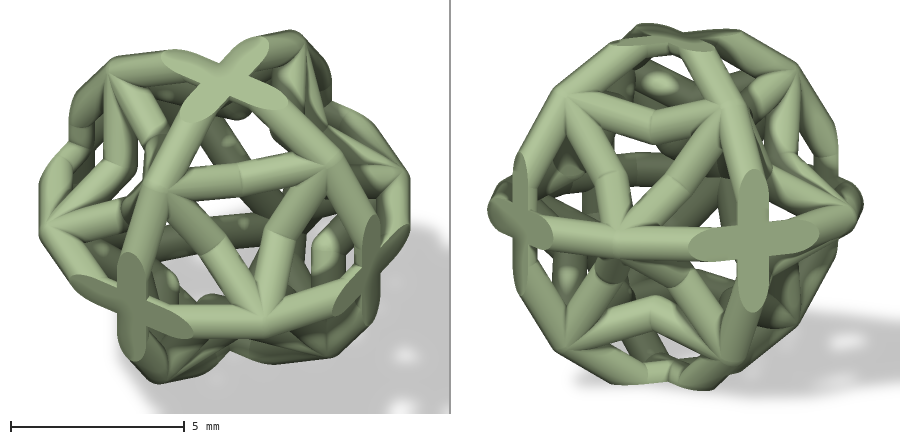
import cadquery as cq

cell_size = 10.0
rod_diameter = 1.0
edge_node_offset = 3.52
face_bend_offset = 1.18
corner_bend_side = 1.3
corner_bend_height = 2.72

face_distance = cell_size / 2
rod_radius = rod_diameter / 2
signs = (-1, 1)


def place(axis, along, first, second):
    """Return a point with 'along' on the given axis (0, 1, 2) and the rest on the next two axes."""
    coordinates = [0.0, 0.0, 0.0]
    coordinates[axis] = along
    coordinates[(axis + 1) % 3] = first
    coordinates[(axis + 2) % 3] = second
    return cq.Vector(*coordinates)


def rod(start, end):
    """Round bar with flat ends between two points."""
    direction = end - start
    return cq.Solid.makeCylinder(rod_radius, direction.Length, start, direction)


def joint(center):
    """Ball that rounds off the rods meeting at a point."""
    return cq.Workplane("XY").sphere(rod_radius).translate(center).val()


def face_strand(axis, side, first, second):
    """Bent strand across one cube face, between the edge nodes on either side of it.

    (first, second) is the unit direction of the strand in the face.
    """

    def strand_point(height, reach):
        return place(axis, side * height, first * reach, second * reach)

    return [
        strand_point(edge_node_offset, -edge_node_offset),
        strand_point(face_distance, -face_bend_offset),
        strand_point(face_distance, face_bend_offset),
        strand_point(edge_node_offset, edge_node_offset),
    ]


def corner_strand(axis, side, first, second):
    """Strand between two edge nodes of one cube corner, bent towards the middle of the cube."""
    return [
        place(axis, side * edge_node_offset, first * edge_node_offset, 0),
        place(axis, side * corner_bend_height, first * corner_bend_side, second * corner_bend_side),
        place(axis, side * edge_node_offset, 0, second * edge_node_offset),
    ]


strands = []
for axis in range(3):
    for side in signs:
        strands.append(face_strand(axis, side, 1, 0))
        strands.append(face_strand(axis, side, 0, 1))
        for first in signs:
            for second in signs:
                strands.append(corner_strand(axis, side, first, second))

pieces = []
for strand in strands:
    for start, end in zip(strand, strand[1:]):
        pieces.append(rod(start, end))
    for bend in strand[1:-1]:
        pieces.append(joint(bend))

for axis in range(3):
    for first in signs:
        for second in signs:
            pieces.append(joint(place(axis, 0, first * edge_node_offset, second * edge_node_offset)))

frame = pieces[0].fuse(*pieces[1:])

cell = cq.Workplane("XY").box(cell_size, cell_size, cell_size)
result = cell.intersect(cq.Workplane(obj=frame))